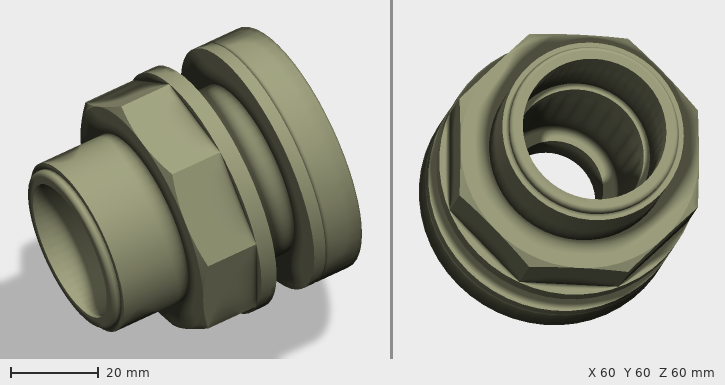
import cadquery as cq
import math

LENGTH = 60.0
BACK_Y = LENGTH / 2
FRONT_Y = -LENGTH / 2

FLANGE_RADIUS = 30.0
FLANGE_THICKNESS = 10.0
TUBE_RADIUS = 21.0
LIP_RADIUS = 19.55
LIP_LENGTH = 2.0
EDGE_ROUND = 1.0

SOCKET_RADIUS = 16.6
SOCKET_DEPTH = 21.0
TAPER_FRONT_RADIUS = 15.2
TAPER_FLOOR_RADIUS = 14.4
FLOOR_ROUND = 1.0
THROUGH_RADIUS = 11.05

GASKET_THICKNESS = 3.0

COLLAR_THICKNESS = 4.0
NUT_FRONT_Y = -11.0
HEAD_LENGTH = 14.0
HEAD_SIDES = 8
HEAD_ACROSS_FLATS = 55.2
HEAD_CHAMFER_ANGLE = 30.0

FLANGE_FACE_Y = BACK_Y - FLANGE_THICKNESS


def disc(radius, start_y, length):
    """Cylinder about the Y axis, running from start_y toward +Y."""
    return cq.Workplane("XZ", origin=(0, start_y, 0)).circle(radius).extrude(-length)


def revolve_about_y(profile):
    """Turn a closed profile of (radius, y) points about the Y axis."""
    return cq.Workplane("XY").polyline(profile).close().revolve(360, (0, 0, 0), (0, 1, 0))


def make_bore():
    """Straight socket, then a tapered seat with a rounded floor, then a through hole."""
    step_y = FRONT_Y + SOCKET_DEPTH
    socket = disc(SOCKET_RADIUS, FRONT_Y, SOCKET_DEPTH)
    seat = revolve_about_y([
        (0, step_y),
        (TAPER_FRONT_RADIUS, step_y),
        (TAPER_FLOOR_RADIUS, FLANGE_FACE_Y),
        (0, FLANGE_FACE_Y),
    ]).edges(">Y").fillet(FLOOR_ROUND)
    through_hole = disc(THROUGH_RADIUS, FRONT_Y, LENGTH)
    return socket.union(seat).union(through_hole)


def make_body():
    flange = disc(FLANGE_RADIUS, FLANGE_FACE_Y, FLANGE_THICKNESS)
    flange = flange.faces("<Y or >Y").edges().fillet(EDGE_ROUND)
    tube_start_y = FRONT_Y + LIP_LENGTH
    tube = disc(TUBE_RADIUS, tube_start_y, FLANGE_FACE_Y - tube_start_y)
    lip = disc(LIP_RADIUS, FRONT_Y, LIP_LENGTH).faces("<Y").edges().fillet(EDGE_ROUND)
    return flange.union(tube).union(lip).cut(make_bore())


def make_gasket():
    start_y = FLANGE_FACE_Y - GASKET_THICKNESS
    ring = disc(FLANGE_RADIUS, start_y, GASKET_THICKNESS)
    return ring.cut(disc(TUBE_RADIUS, start_y, GASKET_THICKNESS))


def make_nut():
    collar_y = NUT_FRONT_Y + HEAD_LENGTH
    flat_radius = HEAD_ACROSS_FLATS / 2
    corner_radius = flat_radius / math.cos(math.pi / HEAD_SIDES)
    head = (
        cq.Workplane("XZ", origin=(0, NUT_FRONT_Y, 0))
        .transformed(rotate=(0, 0, 180 / HEAD_SIDES))
        .polygon(HEAD_SIDES, 2 * corner_radius)
        .extrude(-HEAD_LENGTH)
    )

    cone_rise = (FLANGE_RADIUS - flat_radius) * math.tan(math.radians(HEAD_CHAMFER_ANGLE))
    corner_trim = revolve_about_y([
        (0, NUT_FRONT_Y),
        (flat_radius, NUT_FRONT_Y),
        (FLANGE_RADIUS, NUT_FRONT_Y + cone_rise),
        (FLANGE_RADIUS, collar_y),
        (0, collar_y),
    ])
    collar = disc(FLANGE_RADIUS, collar_y, COLLAR_THICKNESS)
    tube_hole = disc(TUBE_RADIUS, NUT_FRONT_Y, HEAD_LENGTH + COLLAR_THICKNESS)
    return head.intersect(corner_trim).union(collar).cut(tube_hole)


body = make_body()
gasket = make_gasket()
nut = make_nut()

result = cq.Compound.makeCompound([body.val(), gasket.val(), nut.val()])